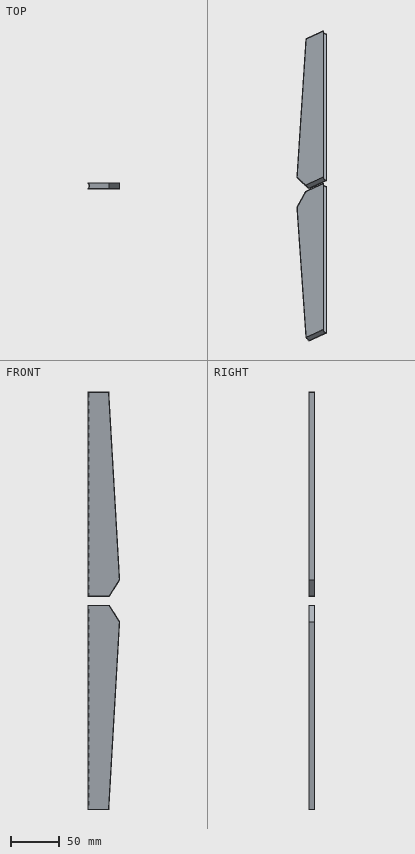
import cadquery as cq

span = 430.0
blade_width = 32.5
thickness = 6.0

gap = 9.0
root_width = 22.0
tip_width = 21.5
shoulder_height = 17.0

groove_depth = 1.5
groove_radius = (groove_depth**2 + (thickness / 2) ** 2) / (2 * groove_depth)

root_z = gap / 2
tip_z = span / 2
shoulder_z = root_z + shoulder_height


def blade_plate():
    """Flat tapered plate, centred on Y = 0, with its straight edge on X = 0."""
    return (
        cq.Workplane("XZ")
        .moveTo(0, root_z)
        .lineTo(root_width, root_z)
        .lineTo(blade_width, shoulder_z)
        .lineTo(tip_width, tip_z)
        .lineTo(0, tip_z)
        .close()
        .extrude(thickness / 2, both=True)
    )


def edge_groove():
    """Cylindrical cutter that hollows the straight edge across its full thickness."""
    return (
        cq.Workplane("XY")
        .workplane(offset=root_z)
        .center(groove_depth - groove_radius, 0)
        .circle(groove_radius)
        .extrude(tip_z - root_z)
    )


def make_blade(points_up):
    """One grooved blade, pointing along +Z or -Z."""
    blade = blade_plate().cut(edge_groove())
    if points_up:
        return blade
    return blade.mirror("XY")


blades = [make_blade(points_up) for points_up in (True, False)]

result = cq.Compound.makeCompound([blade.val() for blade in blades])